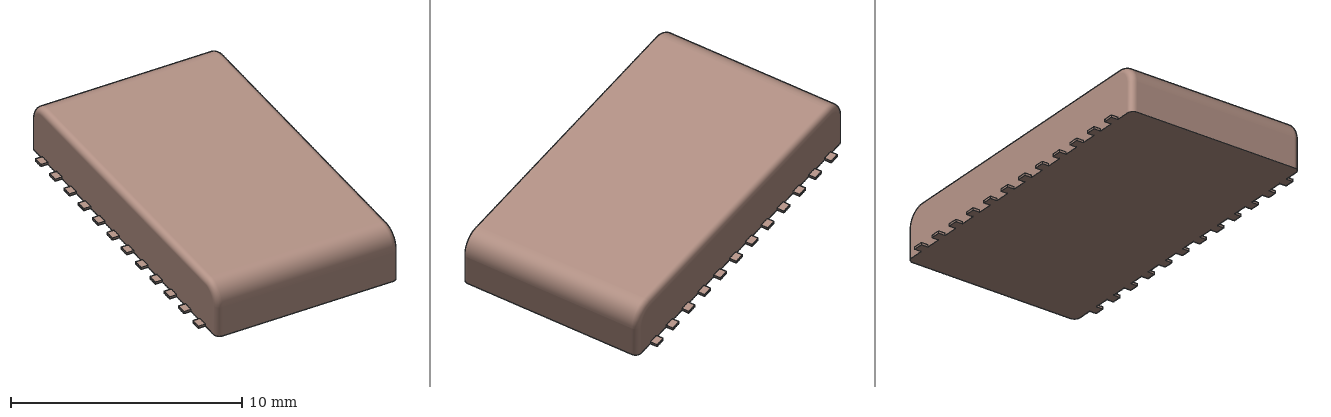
import cadquery as cq

body_length = 16.5
body_width = 9.01
body_height = 2.52
end_radius = 1.0
rim_radius = 0.3

lead_count = 12
lead_pitch = 1.27
lead_width = 0.5
lead_thickness = 0.12
lead_span = 9.7


def make_body():
    block = cq.Workplane("XY").box(body_length, body_width, body_height, centered=(True, True, False))
    rounded_ends = block.edges("|Y and >Z").fillet(end_radius)
    side_rims = rounded_ends.faces("<Y or >Y").edges("not <Z")
    return side_rims.fillet(rim_radius)


def make_leads():
    return (
        cq.Workplane("XY")
        .rarray(lead_pitch, 0.16, lead_count, 1)
        .box(lead_width, lead_span, lead_thickness, centered=(True, True, False))
    )


result = make_body().union(make_leads())